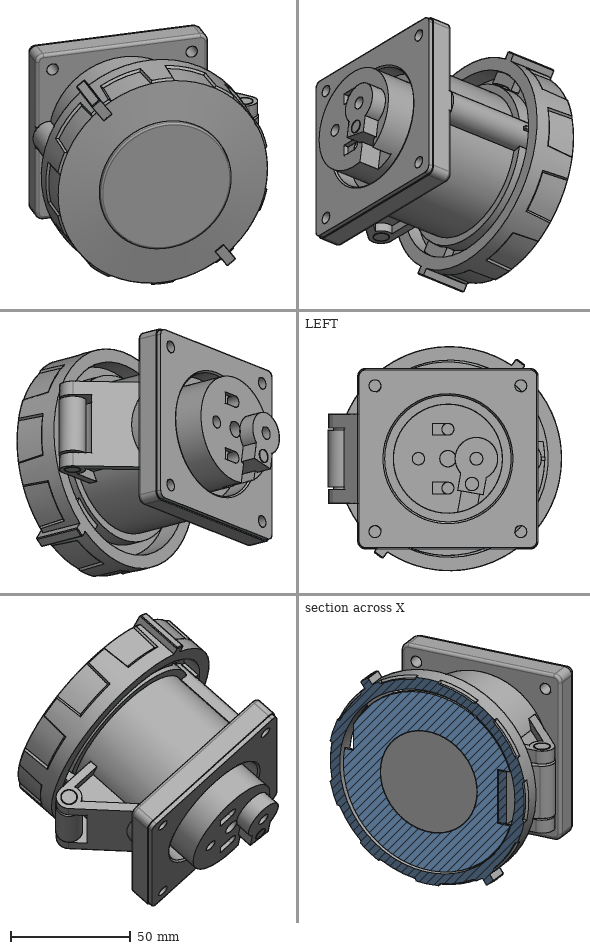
import cadquery as cq
import math


flange_side = 75.6
flange_thickness = 11.9
flange_corner = 3.3
flange_edge_round = 1.4
flange_step_depth = 2.1
flange_step_inset = 0.6
flange_tab_width = 9.4
screw_pitch = 61.1
screw_diameter = 5.0
bore_diameter = 53.0
bore_mouth_diameter = 54.5
bore_depth = 9.8

barrel_radius = 32.2
rib_diameter = 14.0
rib_axis_y = -32.1
insert_bore_diameter = 45.7
neck_radius = 35.7
neck_start = 50.9
collar_radius = 40.6
collar_start = 57.8
housing_end = 64.6
collar_notch_bottom = 7.2
collar_notch_top = 19.6
key_start = 49.8
key_width = 1.4
key_reach = 40.7

insert_diameter = 45.6
insert_start = -10.1
insert_end = 58.8
contact_pitch_radius = 12.3
contact_diameter = 5.0
neutral_diameter = 5.2
contact_depth = 19.6
terminal_slot_length = 6.5
terminal_slot_depth = 2.3
centre_hole_diameter = 6.9
earth_offset = 11.95
earth_hole_diameter = 5.4
earth_boss_radius = 8.9
earth_boss_height = 7.1
earth_tail_width = 10.9
earth_tail_length = 14.4
earth_tail_angle = 10.0
earth_mark_diameter = 5.6
earth_mark_offset = 10.8
earth_mark_height = 0.3
keyway_width = 7.7
keyway_depth = 9.9

cover_offset_y = -0.7
ring_start = 50.15
ring_diameter = 93.9
ring_bore_radius = 41.3
grip_count = 10
grip_start = 56.7
grip_depth = 1.0
grip_start_width = 16.8
grip_end_width = 18.4
ring_edge = 70.0
cone_start = 70.8
front_wall = 4.9
cap_radius = 28.7
cap_start = 73.2
cap_end = 75.6
cap_edge_round = 0.8
lug_angle = 53.6
lug_width = 4.5
lug_reach = 50.3
lug_end = 72.1
lug_chamfer = 0.4
bayonet_width = 15.1
bayonet_inner_radius = 36.2
bayonet_start = 52.4
bayonet_end = 56.3

hinge_x = 41.5
hinge_y = 44.6
bracket_half_width = 18.7
bracket_eye_radius = 5.4
bracket_foot_y = 26.3
bracket_foot_x = 13.1
bracket_foot_inner_x = 18.7
bracket_leg_width = 3.7
bracket_pocket_depth = 3.8
bracket_gap_half = 12.8
bracket_clearance_radius = 9.4
knuckle_diameter = 11.5
knuckle_half_width = 11.95
arm_back_x = 47.1
arm_back_y = 37.2
arm_top_y = 37.0
arm_bottom_y = 32.9
arm_clearance = 0.3
pin_diameter = 6.9
pin_hole_diameter = 7.0
pin_chamfer = 0.2

ring_radius = ring_diameter / 2
grip_floor_radius = ring_radius - grip_depth
cover_floor = cap_start - front_wall
flange_half = flange_side / 2
x_axis = ((0, 0, 0), (1, 0, 0))


def rod(x_start, x_end, radius, y=0.0, z=0.0):
    """Cylinder along X."""
    return cq.Workplane("YZ", origin=(x_start, y, z)).circle(radius).extrude(x_end - x_start)


def hinge_rod(radius, half_length):
    """Cylinder along Z on the hinge axis, centred on the X-Y plane."""
    return cq.Workplane("XY").center(hinge_x, hinge_y).circle(radius).extrude(half_length, both=True)


def block(x_range, y_range, z_range):
    """Box spanning the given ranges."""
    corner, far_corner = zip(x_range, y_range, z_range)
    size = [far - near for near, far in zip(corner, far_corner)]
    return cq.Workplane("XY").box(*size, centered=False).translate(corner)



def rounded_square(x_start, x_end, side, corner):
    plate = cq.Workplane("YZ", origin=(x_start, 0, 0)).rect(side, side).extrude(x_end - x_start)
    return plate.edges("|X").fillet(corner)


def build_flange():
    """Square plate with a stepped rear edge and a rounded front edge, square again at the rib."""
    step = rounded_square(0, flange_step_depth, flange_side - 2 * flange_step_inset,
                          flange_corner - flange_step_inset)
    plate = rounded_square(flange_step_depth, flange_thickness, flange_side, flange_corner)
    plate = plate.faces(">X").edges().fillet(flange_edge_round)
    tab = block((flange_thickness - flange_edge_round, flange_thickness),
                (-flange_half, -barrel_radius),
                (-flange_tab_width / 2, flange_tab_width / 2))
    return step.union(plate).union(tab)


def build_bracket():
    """Hinge bracket: sloping arm, web and leg below an eye, open in the middle for the knuckle."""
    rise = hinge_y - bracket_foot_y
    run = hinge_x - bracket_foot_x
    slope = math.atan2(rise, run) + math.asin(bracket_eye_radius / math.hypot(rise, run))
    tangent_point = (hinge_x - bracket_eye_radius * math.sin(slope),
                     hinge_y + bracket_eye_radius * math.cos(slope))
    leg_outer_x = hinge_x + bracket_eye_radius
    leg_inner_x = leg_outer_x - bracket_leg_width
    pocket_top_y = bracket_foot_y + (leg_inner_x - bracket_foot_inner_x) * math.tan(slope)

    eye = hinge_rod(bracket_eye_radius, bracket_half_width)
    outline = [(bracket_foot_x, bracket_foot_y), tangent_point, (hinge_x, hinge_y),
               (leg_outer_x, hinge_y), (leg_outer_x, 0), (bracket_foot_x, 0)]
    bracket = cq.Workplane("XY").polyline(outline).close().extrude(bracket_half_width, both=True)
    bracket = bracket.union(eye)

    pocket_outline = [(bracket_foot_inner_x, bracket_foot_y), (leg_inner_x, pocket_top_y),
                      (leg_inner_x, 0), (bracket_foot_inner_x, 0)]
    for side in (-1, 1):
        pocket = cq.Workplane("XY", origin=(0, 0, side * bracket_half_width))
        pocket = pocket.polyline(pocket_outline).close().extrude(-side * bracket_pocket_depth)
        bracket = bracket.cut(pocket.cut(eye))
    bracket = bracket.cut(hinge_rod(bracket_clearance_radius, bracket_gap_half))
    return bracket.cut(hinge_rod(pin_hole_diameter / 2, bracket_half_width))


def build_neck():
    """Neck and collar at the mating end, notched beside the rib and for the hinge arm."""
    neck = rod(neck_start, housing_end, neck_radius)
    collar = rod(collar_start, housing_end, collar_radius)
    notch = block((collar_start, housing_end), (-collar_radius, -neck_radius),
                  (collar_notch_bottom, collar_notch_top))
    arm_half_gap = knuckle_half_width + arm_clearance
    arm_slot = block((neck_start, housing_end),
                     (arm_bottom_y - arm_clearance, collar_radius),
                     (-arm_half_gap, arm_half_gap))
    key = block((key_start, collar_start), (-key_reach, rib_axis_y), (-key_width / 2, key_width / 2))
    return neck.union(collar.cut(notch)).cut(arm_slot).union(key)


def build_housing():
    housing = build_flange()
    housing = housing.union(rod(flange_thickness, housing_end, barrel_radius))
    housing = housing.union(rod(flange_thickness, collar_start, rib_diameter / 2, rib_axis_y))
    housing = housing.union(build_neck()).union(build_bracket())

    mouth_chamfer = (bore_mouth_diameter - bore_diameter) / 2
    bore = rod(0, bore_depth, bore_diameter / 2)
    mouth = rod(0, mouth_chamfer, bore_mouth_diameter / 2)
    mouth = mouth.faces(">X").edges().chamfer(mouth_chamfer * 0.999)
    insert_bore = rod(0, housing_end, insert_bore_diameter / 2)
    screw_holes = cq.Workplane("YZ").rect(screw_pitch, screw_pitch, forConstruction=True).vertices()
    screw_holes = screw_holes.circle(screw_diameter / 2).extrude(flange_thickness)
    return housing.cut(bore).cut(mouth).cut(insert_bore).cut(screw_holes)



def turn_with_tail(shape):
    """Swing a shape about the earth hole axis to the slant of the boss tail."""
    return shape.rotate((0, -earth_offset, 0), (1, -earth_offset, 0), earth_tail_angle)


def tail_block(x_range, width, from_axis, to_axis):
    """Box running down from the earth hole axis along the slant of the boss tail."""
    upright = block(x_range, (-earth_offset - width / 2, -earth_offset + width / 2),
                    (-to_axis, -from_axis))
    return turn_with_tail(upright)


def build_insert():
    boss_face = insert_start - earth_boss_height
    hole_end = insert_start + contact_depth
    insert = rod(insert_start, insert_end, insert_diameter / 2)

    keyway_range = (insert_start, insert_start + keyway_depth)
    insert = insert.cut(tail_block(keyway_range, keyway_width, earth_tail_length, insert_diameter))

    insert = insert.cut(rod(insert_start, hole_end, centre_hole_diameter / 2))
    insert = insert.cut(rod(insert_start, hole_end, neutral_diameter / 2, contact_pitch_radius))
    for side in (-1, 1):
        z = side * contact_pitch_radius
        slot = block((insert_start, insert_start + terminal_slot_depth), (0, terminal_slot_length),
                     (z - contact_diameter / 2, z + contact_diameter / 2))
        hole = rod(insert_start, hole_end, contact_diameter / 2, 0, z)
        insert = insert.cut(slot).cut(hole)

    boss_range = (boss_face, insert_start)
    mark = rod(boss_face - earth_mark_height, boss_face, earth_mark_diameter / 2,
               -earth_offset, -earth_mark_offset)
    insert = insert.union(rod(*boss_range, earth_boss_radius, -earth_offset))
    insert = insert.union(tail_block(boss_range, earth_tail_width, 0, earth_tail_length))
    insert = insert.union(turn_with_tail(mark))
    return insert.cut(rod(boss_face, hole_end, earth_hole_diameter / 2, -earth_offset))



def build_grip_pocket():
    """Recess on the -Y side of the ring, with 45 degree walls, widening towards the front."""
    clear_radius = ring_radius + grip_depth
    profile = [(grip_start - grip_depth, clear_radius), (grip_start + grip_depth, grip_floor_radius),
               (cone_start, grip_floor_radius), (cone_start, clear_radius)]
    band = cq.Workplane("XY").polyline(profile).close().revolve(360, *x_axis)

    def wedge_outline(workplane, floor_width):
        half_width = floor_width / 2
        apex = math.sqrt(grip_floor_radius ** 2 - half_width ** 2) - half_width
        spread = clear_radius - apex
        corners = [(-apex, 0), (-clear_radius, spread), (-clear_radius, -spread)]
        return workplane.polyline(corners).close()

    wedge = wedge_outline(cq.Workplane("YZ", origin=(grip_start, 0, 0)), grip_start_width)
    wedge = wedge_outline(wedge.workplane(offset=cone_start - grip_start), grip_end_width)
    return band.intersect(wedge.loft(ruled=True))


def build_lug():
    """Turning lug on the +Z side, rooted in the ring wall."""
    lug = block((ring_start, lug_end), (-lug_width / 2, lug_width / 2), (ring_bore_radius, lug_reach))
    return lug.faces(">Z").edges().chamfer(lug_chamfer)


def build_knuckle():
    """Hinge knuckle and the arm that joins it to the cover floor."""
    knuckle_radius = knuckle_diameter / 2
    knuckle = hinge_rod(knuckle_radius, knuckle_half_width)
    reach = (ring_start - hinge_x, arm_top_y - hinge_y)
    normal = math.atan2(reach[1], reach[0]) + math.acos(knuckle_radius / math.hypot(*reach))
    tangent_point = (hinge_x + knuckle_radius * math.cos(normal),
                     hinge_y + knuckle_radius * math.sin(normal))
    outline = [(hinge_x, hinge_y), tangent_point, (ring_start, arm_top_y), (cover_floor, arm_top_y),
               (cover_floor, arm_bottom_y), (arm_back_x, arm_bottom_y), (arm_back_x, arm_back_y)]
    arm = cq.Workplane("XY").polyline(outline).close().extrude(knuckle_half_width, both=True)
    return knuckle.union(arm).cut(hinge_rod(pin_hole_diameter / 2, knuckle_half_width))


def build_cover():
    profile = [(ring_start, 0), (ring_start, ring_radius), (ring_edge, ring_radius),
               (cone_start, grip_floor_radius), (cap_start, cap_radius), (cap_start, 0)]
    cover = cq.Workplane("XY").polyline(profile).close().revolve(360, *x_axis)
    pocket = build_grip_pocket()
    for i in range(grip_count):
        cover = cover.cut(pocket.rotate(*x_axis, i * 360 / grip_count))
    cover = cover.cut(rod(ring_start, cover_floor, ring_bore_radius))

    cap = rod(cap_start, cap_end, cap_radius).faces(">X").edges().fillet(cap_edge_round)
    cover = cover.union(cap)

    lug = build_lug()
    bayonet = block((bayonet_start, bayonet_end), (-bayonet_width / 2, bayonet_width / 2),
                    (0, ring_bore_radius + grip_depth))
    bayonet = bayonet.cut(rod(bayonet_start, bayonet_end, bayonet_inner_radius))
    for half_turn in (0, 180):
        angle = 90 - lug_angle + half_turn
        cover = cover.union(lug.rotate(*x_axis, angle)).union(bayonet.rotate(*x_axis, angle))
    return cover.translate((0, cover_offset_y, 0)).union(build_knuckle())



def build_pin():
    pin = hinge_rod(pin_diameter / 2, bracket_half_width)
    return pin.faces("|Z").edges().chamfer(pin_chamfer)


housing = build_housing()
insert = build_insert()
cover = build_cover()
pin = build_pin()

result = cq.Compound.makeCompound([body.solids().val() for body in (housing, insert, cover, pin)])